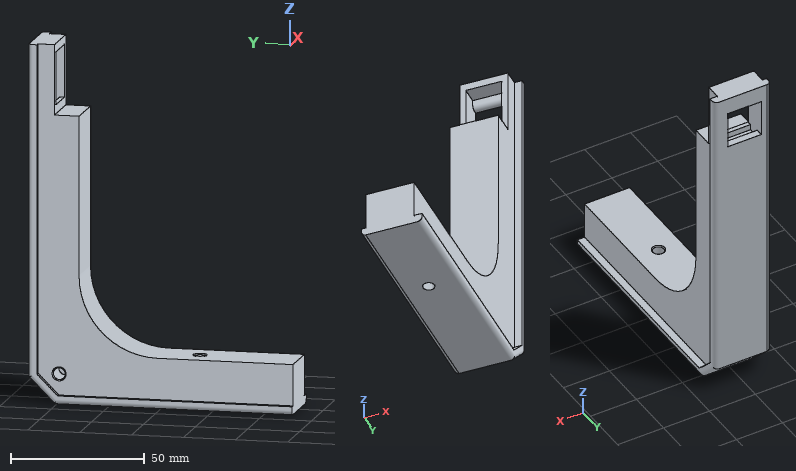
import cadquery as cq

height = 137.6
length = 101.6
arm_depth = 19.3
inner_radius = 30.1
corner_chamfer = 10.0

web_width = 19.7
left_overhang = 1.8
right_overhang = 3.2
flange_thickness = 3.5
flange_edge_radius = 1.9

tongue_depth = 9.8
tongue_height = 27.0
window_width = 14.6
window_height = 20.2
window_top_gap = 3.3
rear_rail_depth = 3.0
top_rail_height = 3.9
top_rail_radius = 1.9
bottom_rail_height = 0.7
front_lip_depth = 1.8
groove_depth = 2.5

hole_diameter = 4.5
hole_mouth_chamfer = 0.4
screw_hole_from_end = 38.0
side_hole_inset = 11.5
side_hole_depth = 9.8

web_left = -web_width / 2
flange_left = web_left - left_overhang
flange_width = left_overhang + web_width + right_overhang
window_top = height - window_top_gap
window_bottom = window_top - window_height


def outer_block(start_x, width):
    """Extruded rectangle with its outer corner cut at 45 degrees; the back face is at Y = 0."""
    return (
        cq.Workplane("YZ", origin=(start_x, 0, 0))
        .moveTo(0, height)
        .lineTo(0, corner_chamfer)
        .lineTo(-corner_chamfer, 0)
        .lineTo(-length, 0)
        .lineTo(-length, height)
        .close()
        .extrude(width)
    )


def make_web():
    """L-shaped body with a rounded inner corner and a thinner tongue at the top."""
    inner_space = (
        cq.Workplane("XY", origin=(0, -arm_depth - length, arm_depth))
        .box(web_width, length, height, centered=(True, False, False))
        .edges("|X and >Y and <Z")
        .fillet(inner_radius)
    )
    tongue_space = (
        cq.Workplane("XY", origin=(0, -tongue_depth - length, height - tongue_height))
        .box(web_width, length, tongue_height, centered=(True, False, False))
    )
    return outer_block(web_left, web_width).cut(inner_space).cut(tongue_space)


def make_flange():
    """Constant-thickness strip along the back, corner and bottom, rounded on its outer edges."""
    block = outer_block(flange_left, flange_width)
    outer_faces = block.faces("<Z or >Y or >(0, 1, -1)")
    rounded = outer_faces.edges("<X or >X").fillet(flange_edge_radius)
    inner_chamfer = corner_chamfer - (2 - 2**0.5) * flange_thickness
    inside = (
        cq.Workplane("YZ", origin=(flange_left, 0, 0))
        .moveTo(-flange_thickness, height)
        .lineTo(-flange_thickness, flange_thickness + inner_chamfer)
        .lineTo(-flange_thickness - inner_chamfer, flange_thickness)
        .lineTo(-length, flange_thickness)
        .lineTo(-length, height)
        .close()
        .extrude(flange_width)
    )
    return rounded.cut(inside)


def make_window():
    """Window cutter, leaving rails at the back and a latch groove in the floor behind the front lip."""
    return (
        cq.Workplane("YZ", origin=(-window_width / 2, 0, 0))
        .moveTo(-tongue_depth, window_top)
        .lineTo(-rear_rail_depth, window_top)
        .lineTo(-rear_rail_depth, window_top - top_rail_height + top_rail_radius)
        .radiusArc((top_rail_radius - rear_rail_depth, window_top - top_rail_height), -top_rail_radius)
        .lineTo(0, window_top - top_rail_height)
        .lineTo(0, window_bottom + bottom_rail_height)
        .lineTo(-rear_rail_depth, window_bottom + bottom_rail_height)
        .lineTo(-rear_rail_depth, window_bottom - groove_depth)
        .lineTo(front_lip_depth - tongue_depth, window_bottom - groove_depth)
        .lineTo(front_lip_depth - tongue_depth, window_bottom)
        .lineTo(-tongue_depth, window_bottom)
        .close()
        .extrude(window_width)
    )


def make_hole_mouth(plane, center, inward):
    """45-degree countersink cutter; inward is the sign of the drilling direction along the plane normal."""
    return (
        cq.Workplane(plane, origin=center)
        .circle(hole_diameter / 2 + hole_mouth_chamfer)
        .extrude(inward * hole_mouth_chamfer, taper=45)
    )


def make_screw_hole():
    """Vertical hole through the short arm."""
    return (
        cq.Workplane("XY", origin=(0, screw_hole_from_end - length, 0))
        .circle(hole_diameter / 2)
        .extrude(arm_depth)
        .union(make_hole_mouth("XY", (0, screw_hole_from_end - length, arm_depth), -1))
    )


def make_side_hole():
    """Blind hole in the left side of the web, near the cut corner."""
    return (
        cq.Workplane("YZ", origin=(web_left, -side_hole_inset, side_hole_inset))
        .circle(hole_diameter / 2)
        .extrude(side_hole_depth)
        .union(make_hole_mouth("YZ", (web_left, -side_hole_inset, side_hole_inset), 1))
    )


bracket = make_web().union(make_flange())
result = bracket.cut(make_window()).cut(make_screw_hole()).cut(make_side_hole())